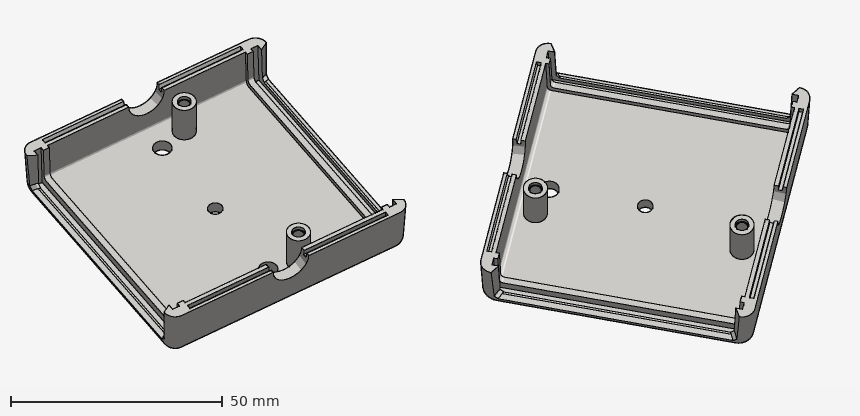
import cadquery as cq
import math

width = 66.2
length = 67.2
height = 14.0
draft = 2.3
side_edge_radius = 3.8
end_edge_radius = 3.0

floor_z = 3.15
pocket_half_width = 30.05
pocket_half_length = 27.75
pocket_fillet = 1.15

slot_inner_y = 29.45
slot_outer_y = 31.4
slot_half_width = 30.25
slot_floor_z = 2.35
rib_top_z = 4.4
rib_half_width = 29.25
rib_fillet = 1.0

lip_inner_z = 3.55
lip_flat_y = 31.9
lip_slope = 0.5
opening_half_width = 28.65
opening_flare = 0.6
opening_corner = 0.9

groove_inner_x = 31.1
groove_outer_x = 32.25
groove_depth = 1.35
groove_draft = 0.3

notch_radius = 5.0

post_x = 24.95
post_y = 7.3
post_diameter = 5.7
post_top_z = 13.4
post_bore = 2.7
post_counterbore = 3.2
post_counterbore_depth = 0.95

side_hole_x = 23.1
side_hole_diameter = 4.6
center_hole_diameter = 3.6

clearance = 0.7
draft_slope = math.tan(math.radians(draft))


def outer_body():
    """Drafted block with rounded bottom edges and corners."""
    block = cq.Workplane("XY", origin=(0, 0, height)).rect(width, length).extrude(-height, taper=draft)
    block = block.faces("<Z").edges("|Y").fillet(side_edge_radius)
    return block.faces("<Y or >Y").edges("not >Z").fillet(end_edge_radius)


def channel_outline(half_width, bottom_z):
    """Cross-section points of a drafted channel that is open at the top."""
    bottom_half = half_width - draft_slope * (height - bottom_z)
    top_half = half_width + draft_slope * clearance
    top_z = height + clearance
    return [(-bottom_half, bottom_z), (bottom_half, bottom_z), (top_half, top_z), (-top_half, top_z)]


def channel(half_width, bottom_z, start_y, end_y):
    """Drafted channel running along Y, open at the top."""
    outline = channel_outline(half_width, bottom_z)
    return cq.Workplane("XZ", origin=(0, start_y, 0)).polyline(outline).close().extrude(start_y - end_y)


def opening_section(y, bottom_z):
    """Closed outline of the end opening at one Y, with beveled lower corners."""
    half_width = opening_half_width + opening_flare * (y - slot_outer_y)
    _, low_right, top_right, top_left = channel_outline(half_width, bottom_z)
    corner_half = low_right[0] + draft_slope * opening_corner
    floor_half = low_right[0] - opening_corner
    corner_z = bottom_z + opening_corner
    points = [
        (-floor_half, bottom_z),
        (floor_half, bottom_z),
        (corner_half, corner_z),
        top_right,
        top_left,
        (-corner_half, corner_z),
    ]
    return cq.Wire.makePolygon([cq.Vector(x, y, z) for x, z in points], close=True)


def end_opening():
    """Flared opening at +Y: a level lip followed by one that slopes down and out."""
    outer_y = length / 2 + clearance
    lip_outer_z = lip_inner_z - lip_slope * (outer_y - lip_flat_y)
    inner = opening_section(slot_outer_y, lip_inner_z)
    middle = opening_section(lip_flat_y, lip_inner_z)
    outer = opening_section(outer_y, lip_outer_z)
    level = cq.Solid.makeLoft([inner, middle], True)
    sloped = cq.Solid.makeLoft([middle, outer], True)
    return cq.Workplane(level).union(cq.Workplane(sloped))


def end_cuts():
    """Rib gap, panel slot and opening at the +Y end."""
    gap = channel(rib_half_width, rib_top_z, pocket_half_length, slot_inner_y)
    gap = gap.faces("<Z").edges("|Y").fillet(rib_fillet)
    slot = channel(slot_half_width, slot_floor_z, slot_inner_y, slot_outer_y)
    return gap.union(slot).union(end_opening())


def pocket():
    cut = channel(pocket_half_width, floor_z, -pocket_half_length, pocket_half_length)
    return cut.faces("<Z").edges("|Y").fillet(pocket_fillet)


def side_groove():
    """Groove in the top of the +X side wall, drafted on its outer face."""
    bottom_z = height - groove_depth
    outline = [
        (groove_inner_x, height),
        (groove_inner_x, bottom_z),
        (groove_outer_x - groove_draft, bottom_z),
        (groove_outer_x, height),
    ]
    plane = cq.Workplane("XZ", origin=(0, pocket_half_length, 0))
    return plane.polyline(outline).close().extrude(2 * pocket_half_length)


def post(x):
    post_plane = cq.Workplane("XY", origin=(x, post_y, floor_z))
    return post_plane.circle(post_diameter / 2).extrude(post_top_z - floor_z)


def post_hole(x):
    bore_plane = cq.Workplane("XY", origin=(x, post_y, floor_z))
    bore = bore_plane.circle(post_bore / 2).extrude(post_top_z - floor_z)
    mouth = cq.Workplane("XY", origin=(x, post_y, post_top_z)).circle(post_counterbore / 2)
    return bore.union(mouth.extrude(-post_counterbore_depth))


def floor_hole(x, diameter):
    plane = cq.Workplane("XY", origin=(x, 0, -clearance))
    return plane.circle(diameter / 2).extrude(floor_z + 2 * clearance)


result = outer_body().cut(pocket())

end_tool = end_cuts()
result = result.cut(end_tool).cut(end_tool.mirror("XZ"))

groove_tool = side_groove()
result = result.cut(groove_tool).cut(groove_tool.mirror("YZ"))

notch = cq.Workplane("YZ", origin=(-width / 2, 0, height)).circle(notch_radius).extrude(width)
result = result.cut(notch)

for side in (-1, 1):
    result = result.union(post(side * post_x))
    result = result.cut(post_hole(side * post_x))
    result = result.cut(floor_hole(side * side_hole_x, side_hole_diameter))
result = result.cut(floor_hole(0, center_hole_diameter))